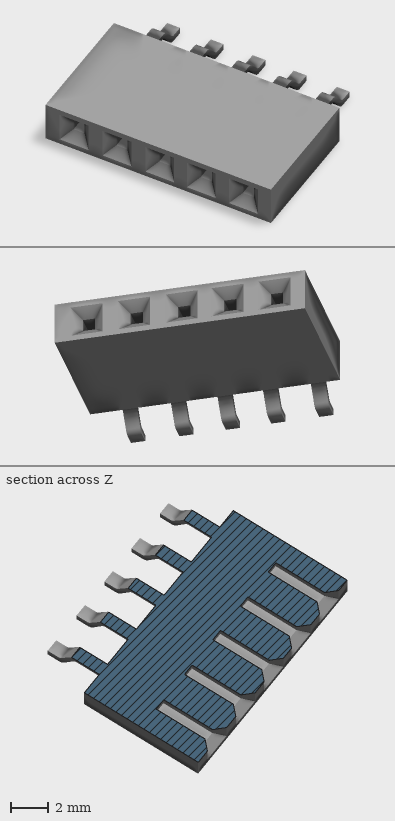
import cadquery as cq

overall_depth = 10.87
body_width = 13.88
body_depth = 7.51
body_height = 2.42

socket_centers_x = [-5.18, -2.54, 0.1, 2.65, 5.25]
socket_center_z = 1.2
mouth_size = 1.78
hole_size = 0.68
funnel_depth = (mouth_size - hole_size) / 2
socket_depth = body_depth / 2

lead_centers_x = [-5.15, -2.47, 0.11, 2.64, 5.29]
lead_width = 0.79
lead_top = 1.33
lead_thickness = 0.29
foot_thickness = 0.39
upper_slope_run = 0.83
lower_slope_run = 0.85
foot_top_length = 0.8
foot_bottom_length = 0.93
outer_bend_radius = 0.46
inner_bend_radius = 0.28


def make_body():
    return cq.Workplane("XY").box(body_width, body_depth, body_height, centered=(True, False, False))


def make_socket(center_x):
    """Cutting solid for one socket, opening at the mating face."""
    mouth = cq.Workplane("XZ", origin=(center_x, 0, socket_center_z))
    funnel = (
        mouth.rect(mouth_size, mouth_size)
        .workplane(offset=-funnel_depth)
        .rect(hole_size, hole_size)
        .loft(ruled=True)
    )
    hole = mouth.rect(hole_size, hole_size).extrude(-socket_depth)
    return funnel.union(hole)


def make_lead(center_x):
    """One lead, drawn as a side profile in Y and Z, with its four bends rounded."""
    tip_y = overall_depth
    upper_foot_bend = (tip_y - foot_top_length, foot_thickness)
    upper_shoulder = (upper_foot_bend[0] - upper_slope_run, lead_top)
    lower_foot_bend = (tip_y - foot_bottom_length, 0)
    lower_shoulder = (lower_foot_bend[0] - lower_slope_run, lead_top - lead_thickness)
    lead = (
        cq.Workplane("YZ", origin=(center_x, 0, 0))
        .moveTo(body_depth, lead_top)
        .lineTo(*upper_shoulder)
        .lineTo(*upper_foot_bend)
        .lineTo(tip_y, foot_thickness)
        .lineTo(tip_y, 0)
        .lineTo(*lower_foot_bend)
        .lineTo(*lower_shoulder)
        .lineTo(body_depth, lead_top - lead_thickness)
        .close()
        .extrude(lead_width / 2, both=True)
    )
    bends = [
        (upper_shoulder, outer_bend_radius),
        (lower_foot_bend, outer_bend_radius),
        (upper_foot_bend, inner_bend_radius),
        (lower_shoulder, inner_bend_radius),
    ]
    for (bend_y, bend_z), radius in bends:
        bend_edge = cq.selectors.NearestToPointSelector((center_x, bend_y, bend_z))
        lead = lead.edges("|X").edges(bend_edge).fillet(radius)
    return lead


result = make_body()
for socket_x in socket_centers_x:
    result = result.cut(make_socket(socket_x))
for lead_x in lead_centers_x:
    result = result.union(make_lead(lead_x))